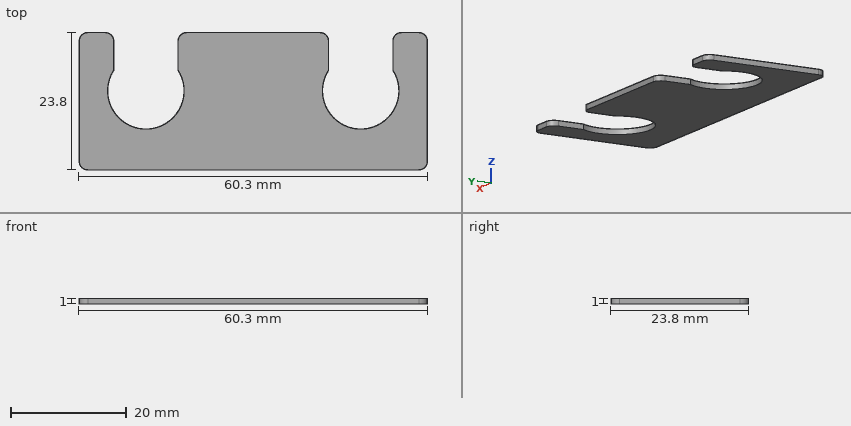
import cadquery as cq

length = 60.325
width = 23.8125
thickness = 1.0
corner_radius = 1.5

notch_spacing = 37.2
bore_diameter = 13.2
bore_centre_from_bottom = 13.7
mouth_width = 11.1

bore_y = bore_centre_from_bottom - width / 2
top_y = width / 2


def notch(centre_x):
    """Round bore joined to a narrower straight mouth through the +Y edge."""
    bore = (
        cq.Workplane("XY")
        .center(centre_x, bore_y)
        .circle(bore_diameter / 2)
        .extrude(thickness)
    )
    mouth_depth = top_y - bore_y
    mouth = (
        cq.Workplane("XY")
        .center(centre_x, bore_y + mouth_depth / 2)
        .rect(mouth_width, mouth_depth)
        .extrude(thickness)
    )
    return bore.union(mouth)


def notched_plate():
    plate = cq.Workplane("XY").rect(length, width).extrude(thickness)
    for side in (-1, 1):
        plate = plate.cut(notch(side * notch_spacing / 2))
    return plate


def round_outer_corners(plate):
    """Round every upright edge on the two long sides, mouth corners included."""
    corners = plate.faces("<Y or >Y").edges("|Z")
    return corners.fillet(corner_radius)


result = round_outer_corners(notched_plate())